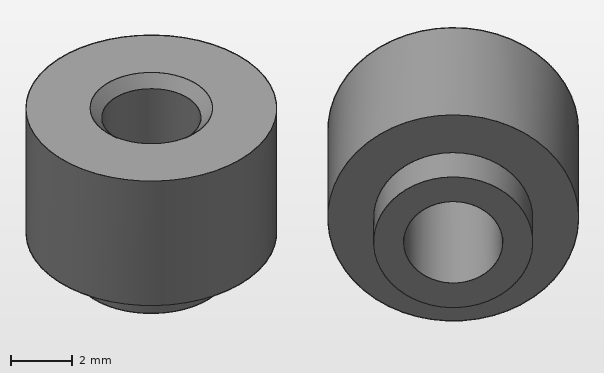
import cadquery as cq

body_diameter = 8.2
spigot_diameter = 5.2
bore_diameter = 3.24
chamfer_diameter = 4.0
total_height = 6.4
body_height = 5.0

spigot_height = total_height - body_height
bore_chamfer = (chamfer_diameter - bore_diameter) / 2

spigot = cq.Workplane("XY").circle(spigot_diameter / 2).extrude(spigot_height)
bushing = spigot.faces(">Z").workplane().circle(body_diameter / 2).extrude(body_height)

bore = cq.Workplane("XY").circle(bore_diameter / 2).extrude(total_height)
bushing = bushing.cut(bore)

bore_rim = bushing.faces(">Z").edges(cq.selectors.RadiusNthSelector(0))
result = bore_rim.chamfer(bore_chamfer)